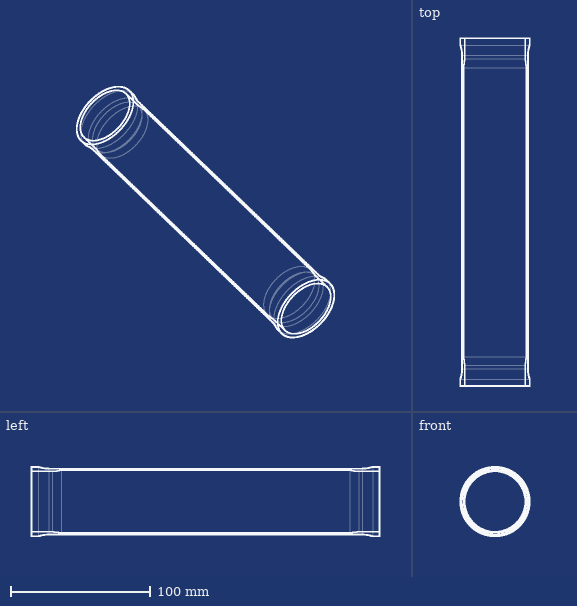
import cadquery as cq

length = 250.0
half_length = length / 2

collar_radius = 25.0
body_radius = 23.8
collar_width = 5.0
flare_length = 7.5

bore_radius = 22.5
mouth_radius = 21.8
mouth_depth = 15.0
inner_taper_length = 6.2

flare_rise = collar_radius - body_radius
flare_arc_radius = (flare_length**2 + flare_rise**2) / (2 * flare_rise)
flare_mid_radius = body_radius + flare_arc_radius - (flare_arc_radius**2 - (flare_length / 2) ** 2) ** 0.5


def make_outer_body():
    """Solid outer form: body, concave flares and end collars."""
    collar_y = half_length - collar_width
    body_y = collar_y - flare_length
    flare_mid_y = body_y + flare_length / 2
    return (
        cq.Workplane("XY")
        .moveTo(0, -half_length)
        .lineTo(collar_radius, -half_length)
        .lineTo(collar_radius, -collar_y)
        .threePointArc((flare_mid_radius, -flare_mid_y), (body_radius, -body_y))
        .lineTo(body_radius, body_y)
        .threePointArc((flare_mid_radius, flare_mid_y), (collar_radius, collar_y))
        .lineTo(collar_radius, half_length)
        .lineTo(0, half_length)
        .close()
        .revolve(360, (0, 0, 0), (0, 1, 0))
    )


def make_inner_void():
    """Through passage: bore, conical tapers and end mouths."""
    mouth_y = half_length - mouth_depth
    bore_y = mouth_y - inner_taper_length
    return (
        cq.Workplane("XY")
        .moveTo(0, -half_length)
        .lineTo(mouth_radius, -half_length)
        .lineTo(mouth_radius, -mouth_y)
        .lineTo(bore_radius, -bore_y)
        .lineTo(bore_radius, bore_y)
        .lineTo(mouth_radius, mouth_y)
        .lineTo(mouth_radius, half_length)
        .lineTo(0, half_length)
        .close()
        .revolve(360, (0, 0, 0), (0, 1, 0))
    )


result = make_outer_body().cut(make_inner_void())